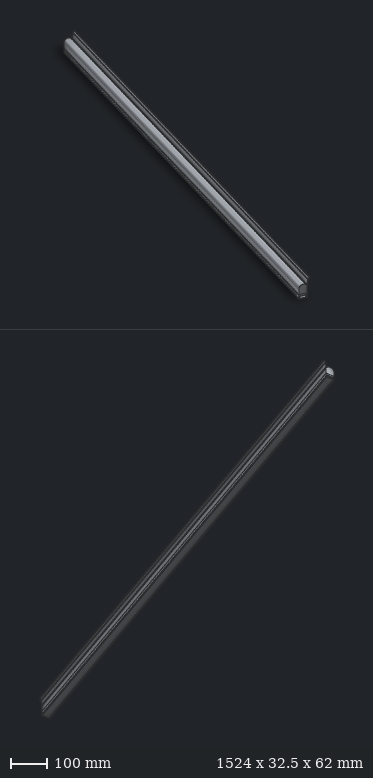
import cadquery as cq
import math

LENGTH = 1524.0
OVERALL_DEPTH = 32.49
OVERALL_HEIGHT = 62.0

BODY_WIDTH = 25.4
FRONT_Y = -BODY_WIDTH / 2
BACK_Y = BODY_WIDTH / 2

BASE_HEIGHT = 14.0
BASE_SIDE_WALL = 2.5
BASE_FLOOR = 1.5
BASE_CEILING_Z = 8.1

DOME_RADIUS = BODY_WIDTH / 2
DOME_CENTRE_Z = 31.2

FIN_FRONT_Y = 11.0
FIN_THICKNESS = 2.1
FIN_LEAN = 2.8
FIN_FOOT_Z = 38.3
FIN_BEND_Z = 55.2
FIN_BEND_RISE = 0.6
LIP_TOP_WIDTH = 2.0
LIP_EDGE_HEIGHT = 0.3
LIP_BACK_Y = FRONT_Y + OVERALL_DEPTH


def make_base():
    """Rectangular strip with a flat rectangular channel running through it."""
    block = cq.Workplane("XY").box(LENGTH, BODY_WIDTH, BASE_HEIGHT, centered=(False, True, False))
    channel = (
        cq.Workplane("XY", origin=(0, 0, BASE_FLOOR))
        .box(
            LENGTH,
            BODY_WIDTH - 2 * BASE_SIDE_WALL,
            BASE_CEILING_Z - BASE_FLOOR,
            centered=(False, True, False),
        )
    )
    return block.cut(channel)


def make_rail():
    """Solid rail standing on the base, with the fin rising from the back of its dome."""
    fin_meets_dome_z = DOME_CENTRE_Z + math.sqrt(DOME_RADIUS**2 - FIN_FRONT_Y**2)
    fin_back_y = FIN_FRONT_Y + FIN_THICKNESS
    profile = (
        cq.Workplane("YZ")
        .moveTo(FRONT_Y, BASE_HEIGHT)
        .lineTo(BACK_Y, BASE_HEIGHT)
        .lineTo(BACK_Y, FIN_FOOT_Z)
        .lineTo(fin_back_y, FIN_FOOT_Z)
        .lineTo(fin_back_y + FIN_LEAN, FIN_BEND_Z)
        .lineTo(LIP_BACK_Y, OVERALL_HEIGHT - LIP_EDGE_HEIGHT)
        .lineTo(LIP_BACK_Y, OVERALL_HEIGHT)
        .lineTo(LIP_BACK_Y - LIP_TOP_WIDTH, OVERALL_HEIGHT)
        .lineTo(FIN_FRONT_Y + FIN_LEAN, FIN_BEND_Z + FIN_BEND_RISE)
        .lineTo(FIN_FRONT_Y, fin_meets_dome_z)
        .threePointArc((0, DOME_CENTRE_Z + DOME_RADIUS), (FRONT_Y, DOME_CENTRE_Z))
        .close()
    )
    return profile.extrude(LENGTH)


base = make_base()
rail = make_rail()

result = cq.Compound.makeCompound([base.val(), rail.val()])